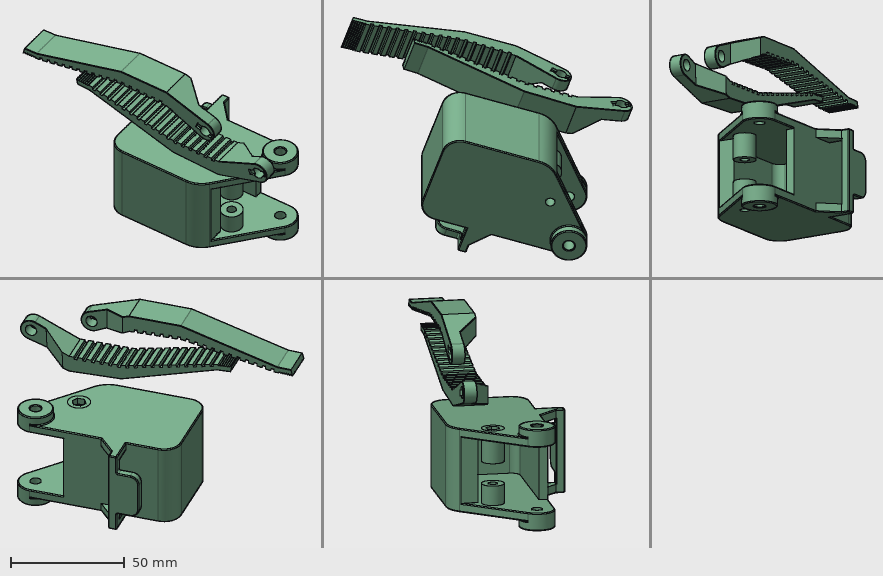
import cadquery as cq
import math


HEIGHT = 38.0
BODY_DEPTH = 44.0
WALL = 4.0
CORNER_R = 8.0
NOSE_X = 42.1
NOSE_R = 12.5
OPENING_X = 52.2
EDGE_CHAMFER = 0.45

PIVOT_R = 7.9
PIVOT_X = 67.9
PIVOT_Y = BODY_DEPTH - PIVOT_R
PIVOT_HUB_HEIGHT = 4.0
PIVOT_HOLE_R = 2.5
PIVOT_HOLE_CHAMFER = 0.4

LOOP_DEPTH = 12.5
LOOP_LEFT = 23.0
LOOP_RIGHT = 26.9
LOOP_FOOT_X = 34.6
LOOP_BACK = BODY_DEPTH + LOOP_DEPTH
TAB_LEFT = 12.7
TAB_HEIGHT = 20.8
TAB_CORNER_R = 4.0
TAB_ROOT_R = 0.8

POST_X = 53.6
POST_Y = 19.0
POST_R = 5.1
UPPER_POST_LENGTH = 15.0
LOWER_POST_LENGTH = 12.9
SCREW_HOLE_R = 2.1
NUT_ACROSS_FLATS = 5.5
NUT_DEPTH = 3.0

UPPER_JAW_AT = (52.3, 72.5)
LOWER_JAW_AT = (80.5, 61.9)
LOWER_JAW_TILT = 2.4
JAW_WIDTH = 15.1
JAW_CHAMFER = 0.3
EYE_WIDTH = 6.0
EYE_R = 5.0
EYE_HOLE_R = 2.6
EYE_STEP_END = -7.2
EYE_STEP_START = -17.5

TIP_BOTTOM = (-96.9, -2.7)
TIP_TOP = (-96.1, 0.3)
OUTER_TIP_BEND = (-89.7, 0.4)
OUTER_MID_BEND = (-44.7, 12.5)
OUTER_EYE_BEND = (-20.5, 12.5)
INNER_EYE_BEND = (-20.8, 4.5)
INNER_MID_BEND = (-45.5, 5.3)
INNER_TIP_BEND = (-88.3, -2.5)

TOOTH_PITCH = 4.0
NOTCH_WIDTH = 1.7
NOTCH_FLOOR_WIDTH = 1.2
NOTCH_DEPTH = 1.2
SLOPE_NOTCHES = 11
SLOPE_NOTCH_START = 0.1
FLAT_NOTCHES = 6
FLAT_NOTCH_START = 0.8

SERRATION_PITCH = 1.0
SERRATION_DEPTH = 0.5
SERRATIONS = 6

KEYWAY_WIDTH = 2.6
KEYWAY_INNER = 4.7
KEYWAY_OUTER = 3.9
KEYWAY_ANGLE = -20.0
KEYWAY_DEPTH = 1.0


def side_profile():
    """Plan outline of the plates, loop arms included."""
    dx = PIVOT_X - NOSE_X
    dy = PIVOT_Y - NOSE_R
    normal = math.atan2(dy, dx) - math.acos((NOSE_R - PIVOT_R) / math.hypot(dx, dy))

    def on_nose(angle):
        return NOSE_X + NOSE_R * math.cos(angle), NOSE_R + NOSE_R * math.sin(angle)

    def on_pivot(angle):
        return PIVOT_X + PIVOT_R * math.cos(angle), PIVOT_Y + PIVOT_R * math.sin(angle)

    arm_top_of_slope = LOOP_BACK - WALL
    nose_mid = (normal - math.pi / 2) / 2
    pivot_mid = (normal + math.pi / 2) / 2
    corner_mid = CORNER_R * (1 - math.sqrt(0.5))
    return (
        cq.Workplane("XY")
        .moveTo(CORNER_R, 0)
        .lineTo(NOSE_X, 0)
        .threePointArc(on_nose(nose_mid), on_nose(normal))
        .lineTo(*on_pivot(normal))
        .threePointArc(on_pivot(pivot_mid), on_pivot(math.pi / 2))
        .lineTo(LOOP_FOOT_X, BODY_DEPTH)
        .lineTo(LOOP_RIGHT, arm_top_of_slope)
        .lineTo(LOOP_RIGHT, LOOP_BACK)
        .lineTo(LOOP_LEFT, LOOP_BACK)
        .lineTo(LOOP_LEFT, BODY_DEPTH)
        .lineTo(CORNER_R, BODY_DEPTH)
        .threePointArc((corner_mid, BODY_DEPTH - corner_mid), (0, BODY_DEPTH - CORNER_R))
        .lineTo(0, CORNER_R)
        .threePointArc((corner_mid, corner_mid), (CORNER_R, 0))
        .close()
    )


def box_between(x0, x1, y0, y1, z0, z1):
    return cq.Workplane("XY").box(x1 - x0, y1 - y0, z1 - z0, centered=False).translate((x0, y0, z0))


def upright_cylinder(x, y, radius, z0, z1):
    return cq.Workplane("XY", origin=(x, y, z0)).circle(radius).extrude(z1 - z0)


def cavity():
    """Hollow interior, the open side between the plates and the gap between the loop arms."""
    z0 = WALL
    z1 = HEIGHT - WALL
    inside = box_between(WALL, OPENING_X, WALL, BODY_DEPTH - WALL, z0, z1)
    inside = inside.edges("|Z and <X").fillet(CORNER_R - WALL)
    inside = inside.edges("|Z and >X and <Y").fillet(NOSE_R - WALL)
    mouth = box_between(OPENING_X - NOSE_R, OPENING_X, NOSE_R, BODY_DEPTH - WALL, z0, z1)
    open_side = box_between(OPENING_X, PIVOT_X + PIVOT_R, 0, BODY_DEPTH, z0, z1)
    arm_gap = box_between(LOOP_LEFT, LOOP_FOOT_X, BODY_DEPTH, LOOP_BACK, z0, z1)
    return inside.union(mouth).union(open_side).union(arm_gap)


def inner_plate_edges(x0, x1, y0, y1):
    """Selector for plate edges facing the gap whose middles lie in the given X-Y range."""
    margin = EDGE_CHAMFER / 2
    lower = cq.selectors.BoxSelector((x0, y0, WALL - margin), (x1, y1, WALL + margin))
    upper = cq.selectors.BoxSelector(
        (x0, y0, HEIGHT - WALL - margin), (x1, y1, HEIGHT - WALL + margin)
    )
    return lower + upper


def make_shell():
    """Walls, plates and loop arms."""
    shell = side_profile().extrude(HEIGHT)
    shell = shell.edges("|Z and >Y").chamfer(EDGE_CHAMFER)
    shell = shell.faces("<Z or >Z").chamfer(EDGE_CHAMFER)
    shell = shell.cut(cavity())
    arm_edges = inner_plate_edges(
        LOOP_LEFT - EDGE_CHAMFER, LOOP_LEFT + EDGE_CHAMFER / 2, BODY_DEPTH, LOOP_BACK
    )
    shell = shell.edges(arm_edges).chamfer(EDGE_CHAMFER)
    rim_edges = inner_plate_edges(
        OPENING_X + EDGE_CHAMFER, PIVOT_X, NOSE_R / 2, PIVOT_Y - PIVOT_R / 2
    )
    return shell.edges(rim_edges).chamfer(EDGE_CHAMFER)


def make_loop_bar():
    """Bar joining the loop arms, with a round-cornered tab on its left side."""
    y0 = LOOP_BACK - WALL
    bar = box_between(
        LOOP_LEFT, LOOP_RIGHT, y0, LOOP_BACK, WALL - EDGE_CHAMFER, HEIGHT - WALL + EDGE_CHAMFER
    )
    tab_bottom = (HEIGHT - TAB_HEIGHT) / 2
    tab = box_between(TAB_LEFT, LOOP_RIGHT, y0, LOOP_BACK, tab_bottom, tab_bottom + TAB_HEIGHT)
    tab = tab.edges("|Y and <X").fillet(TAB_CORNER_R)
    root = cq.selectors.BoxSelector(
        (LOOP_LEFT - TAB_ROOT_R, y0, tab_bottom - TAB_ROOT_R),
        (LOOP_LEFT + TAB_ROOT_R, LOOP_BACK, tab_bottom + TAB_HEIGHT + TAB_ROOT_R),
    )
    bar = bar.union(tab).edges("|Y").edges(root).fillet(TAB_ROOT_R)
    return bar.faces("<Y or >Y").edges("not (<Z or >Z)").chamfer(EDGE_CHAMFER)


def make_upper_hub():
    """Round hub on the top plate with a sloping foot that stays inside the plate's outline."""
    hub = upright_cylinder(PIVOT_X, PIVOT_Y, PIVOT_R, HEIGHT - EDGE_CHAMFER, HEIGHT + PIVOT_HUB_HEIGHT)
    hub = hub.faces(">Z").chamfer(EDGE_CHAMFER)
    foot = cq.Workplane(
        cq.Solid.makeCone(
            PIVOT_R + EDGE_CHAMFER, PIVOT_R, EDGE_CHAMFER, pnt=cq.Vector(PIVOT_X, PIVOT_Y, HEIGHT)
        )
    )
    outline = side_profile().extrude(HEIGHT + PIVOT_HUB_HEIGHT)
    return hub.union(foot.intersect(outline))


def pivot_hole():
    bottom = -PIVOT_HUB_HEIGHT
    top = HEIGHT + PIVOT_HUB_HEIGHT
    flare = PIVOT_HOLE_R + PIVOT_HOLE_CHAMFER
    half_outline = [
        (0, bottom), (flare, bottom), (PIVOT_HOLE_R, bottom + PIVOT_HOLE_CHAMFER),
        (PIVOT_HOLE_R, top - PIVOT_HOLE_CHAMFER), (flare, top), (0, top),
    ]
    hole = cq.Workplane("XZ").polyline(half_outline).close().revolve(360, (0, 0), (0, 1))
    return hole.translate((PIVOT_X, PIVOT_Y, 0))


def make_housing():
    upper_hub = make_upper_hub()
    lower_hub = upper_hub.mirror("XY", (0, 0, HEIGHT / 2))
    body = make_shell().union(make_loop_bar()).union(upper_hub).union(lower_hub)
    body = body.union(upright_cylinder(POST_X, POST_Y, POST_R, 0, LOWER_POST_LENGTH))
    body = body.cut(upright_cylinder(POST_X, POST_Y, SCREW_HOLE_R, 0, LOWER_POST_LENGTH))
    body = body.cut(upright_cylinder(POST_X, POST_Y, POST_R, HEIGHT - WALL, HEIGHT))
    return body.cut(pivot_hole())


def make_nut_post():
    """Upper screw post, set through the top plate, with a nut pocket in its top end."""
    bottom = HEIGHT - UPPER_POST_LENGTH
    post = upright_cylinder(POST_X, POST_Y, POST_R, bottom, HEIGHT)
    post = post.cut(upright_cylinder(POST_X, POST_Y, SCREW_HOLE_R, bottom, HEIGHT))
    nut = (
        cq.Workplane("XY", origin=(POST_X, POST_Y, HEIGHT))
        .polygon(6, NUT_ACROSS_FLATS / math.cos(math.pi / 6))
        .extrude(-NUT_DEPTH)
    )
    return post.cut(nut)


def eye_tangent(point, side):
    """Angle on the eye's rim where the straight edge from the point touches it."""
    return math.atan2(point[1], point[0]) + side * math.acos(EYE_R / math.hypot(*point))


def on_eye(angle):
    return EYE_R * math.cos(angle), EYE_R * math.sin(angle)


def edge_cutters(start, end, first, count, pitch, points):
    """Cutters repeated along an inner edge; the points are (along, into the jaw)."""
    angle = math.degrees(math.atan2(end[1] - start[1], end[0] - start[0]))
    cutter = cq.Workplane("XZ").polyline(points).close().extrude(-JAW_WIDTH)
    cutters = []
    for i in range(count):
        placed = cutter.translate((first + i * pitch, 0, 0)).rotate((0, 0, 0), (0, 1, 0), -angle)
        cutters.append(placed.translate((start[0], 0, start[1])))
    return cutters


def tooth_cutters():
    taper = (NOTCH_WIDTH - NOTCH_FLOOR_WIDTH) / 2
    notch = [
        (-taper, -NOTCH_DEPTH), (NOTCH_WIDTH + taper, -NOTCH_DEPTH),
        (NOTCH_WIDTH - taper, NOTCH_DEPTH), (taper, NOTCH_DEPTH),
    ]
    groove = [(0, 0), (SERRATION_PITCH, 0), (SERRATION_PITCH / 2, SERRATION_DEPTH)]
    return (
        edge_cutters(
            INNER_TIP_BEND, INNER_MID_BEND, SLOPE_NOTCH_START, SLOPE_NOTCHES, TOOTH_PITCH, notch
        )
        + edge_cutters(
            INNER_MID_BEND, INNER_EYE_BEND, FLAT_NOTCH_START, FLAT_NOTCHES, TOOTH_PITCH, notch
        )
        + edge_cutters(
            TIP_BOTTOM, INNER_TIP_BEND, SERRATION_PITCH / 2, SERRATIONS, SERRATION_PITCH, groove
        )
    )


def make_jaw():
    """Upper jaw with the pivot hole centre at X = Z = 0 and its front face at Y = 0."""
    outer_touch = eye_tangent(OUTER_EYE_BEND, -1)
    inner_touch = eye_tangent(INNER_EYE_BEND, 1) - 2 * math.pi
    jaw = (
        cq.Workplane("XZ")
        .polyline([TIP_BOTTOM, TIP_TOP, OUTER_TIP_BEND, OUTER_MID_BEND, OUTER_EYE_BEND])
        .lineTo(*on_eye(outer_touch))
        .threePointArc(on_eye((outer_touch + inner_touch) / 2), on_eye(inner_touch))
        .lineTo(*INNER_EYE_BEND)
        .lineTo(*INNER_MID_BEND)
        .lineTo(*INNER_TIP_BEND)
        .close()
        .extrude(-JAW_WIDTH)
    )
    reach = OUTER_MID_BEND[1]
    step = (
        cq.Workplane("XY", origin=(0, 0, -reach))
        .polyline([
            (EYE_STEP_START, JAW_WIDTH), (EYE_STEP_END, EYE_WIDTH),
            (EYE_R, EYE_WIDTH), (EYE_R, JAW_WIDTH),
        ])
        .close()
        .extrude(2 * reach)
    )
    jaw = jaw.cut(step)
    outer_faces = jaw.faces().filter(lambda face: face.normalAt().z > 0.5)
    jaw = outer_faces.edges("not |Y").chamfer(JAW_CHAMFER)

    for cutter in tooth_cutters():
        jaw = jaw.cut(cutter)
    hole = cq.Workplane("XZ").circle(EYE_HOLE_R).extrude(-JAW_WIDTH)
    keyway = (
        cq.Workplane("XZ")
        .center((KEYWAY_OUTER - KEYWAY_INNER) / 2, 0)
        .rect(KEYWAY_OUTER + KEYWAY_INNER, KEYWAY_WIDTH)
        .extrude(-KEYWAY_DEPTH)
        .rotate((0, 0, 0), (0, 1, 0), -KEYWAY_ANGLE)
    )
    return jaw.cut(hole).cut(keyway)


def make_upper_jaw():
    return make_jaw().translate((UPPER_JAW_AT[0], 0, UPPER_JAW_AT[1]))


def make_lower_jaw():
    jaw = make_jaw().mirror("XY").rotate((0, 0, 0), (0, 1, 0), LOWER_JAW_TILT)
    return jaw.translate((LOWER_JAW_AT[0], 0, LOWER_JAW_AT[1]))


housing = make_housing()
nut_post = make_nut_post()
upper_jaw = make_upper_jaw()
lower_jaw = make_lower_jaw()

result = cq.Compound.makeCompound(
    [body.solids().val() for body in (housing, nut_post, upper_jaw, lower_jaw)]
)